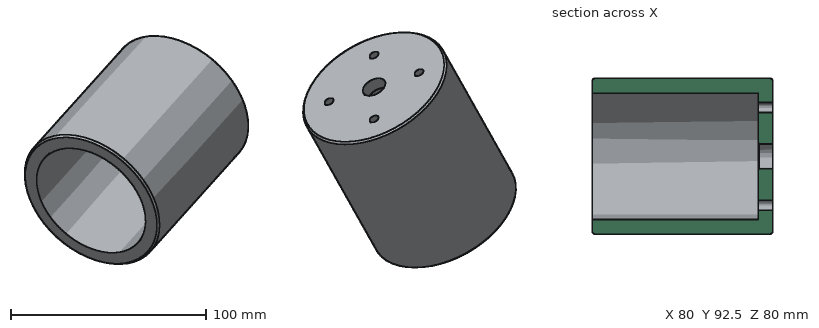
import cadquery as cq

outer_diameter = 80.0
length = 92.5
rim_chamfer = 1.0

bore_diameter = 64.5
floor_thickness = 7.5
bore_depth = length - floor_thickness

center_hole_diameter = 12.5
center_hole_chamfer = 0.5
bolt_hole_diameter = 5.0
bolt_circle_diameter = 50.0
bolt_hole_count = 4


def cylinder_along_y(diameter, start_y, height):
    """Solid cylinder on the Y axis, running from start_y towards +Y."""
    return cq.Workplane(cq.Solid.makeCylinder(
        diameter / 2, height, cq.Vector(0, start_y, 0), cq.Vector(0, 1, 0)))


def make_cup():
    """Chamfered cylinder with a blind bore from the -Y end."""
    body = cylinder_along_y(outer_diameter, 0, length)
    body = body.faces("<Y or >Y").edges().chamfer(rim_chamfer)
    return body.cut(cylinder_along_y(bore_diameter, 0, bore_depth))


def make_center_hole():
    """Cutter for the central hole, with a lead-in chamfer on the bore side."""
    hole = cylinder_along_y(center_hole_diameter, bore_depth, floor_thickness)
    lead_in = cq.Workplane(cq.Solid.makeCone(
        center_hole_diameter / 2 + center_hole_chamfer,
        center_hole_diameter / 2,
        center_hole_chamfer,
        cq.Vector(0, bore_depth, 0),
        cq.Vector(0, 1, 0)))
    return hole.union(lead_in)


def make_bolt_holes():
    """Cutter for the ring of bolt holes, the first one on the +X axis."""
    return (
        cq.Workplane("XZ", origin=(0, length, 0))
        .polarArray(bolt_circle_diameter / 2, 0, 360, bolt_hole_count)
        .circle(bolt_hole_diameter / 2)
        .extrude(floor_thickness)
    )


result = make_cup().cut(make_center_hole()).cut(make_bolt_holes())